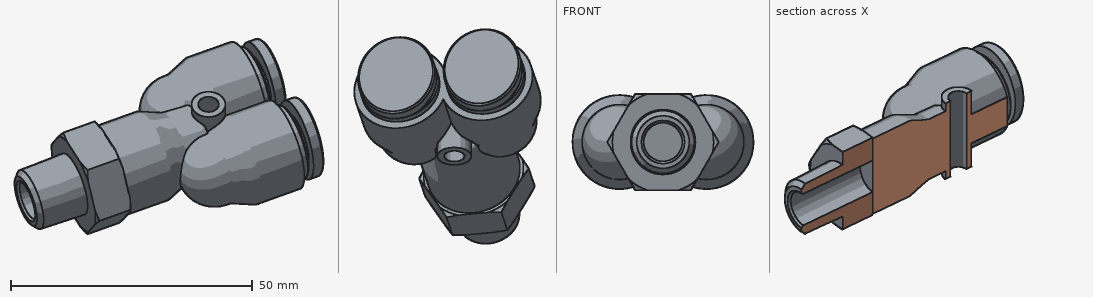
import cadquery as cq
import math


hex_bottom = 11.0
hex_top = 19.0
branch_end = 55.0
sleeve_top = 56.9
flange_bottom = 57.9
collar_top = 60.4

barrel_diameter = 19.5
neck_diameter = 15.5
barrel_length = 10.0
taper_length = 5.0
blend_radius = 0.95
stem_neck_length = 5.9
branch_neck_length = 0.95
branch_offset = 9.0

eyelet_diameter = 7.0
eyelet_hole_diameter = 4.2
eyelet_y = 42.0

hex_across_flats = 20.0
hex_face_diameter = 20.95
hex_chamfer_height = 0.4
thread_top_diameter = 13.45
thread_end_diameter = 13.0
tip_diameter = 10.9
tip_chamfer_height = 1.0
bore_diameter = 8.0
bore_chamfer = 0.5

sleeve_diameter = 16.5
sleeve_chamfer = 0.35
collar_neck_diameter = 11.7
flange_width = 16.2
flange_height = 18.5
flange_chamfer = 0.35


def revolve_profile(points):
    """Solid of revolution about the Y axis from (radius, y) points."""
    return cq.Workplane("XY").polyline(points).close().revolve(360, (0, 0, 0), (0, 1, 0))


def cylinder_along_y(diameter, start, end):
    return cq.Workplane("XZ", origin=(0, start, 0)).circle(diameter / 2).extrude(start - end)


def necked_barrel(neck_length):
    """Barrel from Y = 0 that tapers to a neck with a flat end towards +Y."""
    taper_end = barrel_length + taper_length
    neck_end = taper_end + neck_length
    body = revolve_profile([
        (0, 0),
        (barrel_diameter / 2, 0),
        (barrel_diameter / 2, barrel_length),
        (neck_diameter / 2, taper_end),
        (neck_diameter / 2, neck_end),
        (0, neck_end),
    ])
    for edge_y in (barrel_length, taper_end):
        blended_edge = cq.selectors.NearestToPointSelector((0, edge_y, 0))
        body = body.edges(blended_edge).fillet(blend_radius)
    return body


def make_stem():
    """Neck and barrel above the stud, rounded at the inner end."""
    stem = necked_barrel(stem_neck_length).faces(">Y").edges().fillet(blend_radius)
    return stem.translate((0, hex_top, 0))


def make_branch(x):
    """Branch that opens towards +Y and closes with a hemisphere towards -Y."""
    neck_radius = neck_diameter / 2
    dome_y = barrel_length + taper_length + branch_neck_length
    dome = (
        cq.Workplane("XY", origin=(0, dome_y, 0))
        .lineTo(neck_radius, 0)
        .radiusArc((0, neck_radius), -neck_radius)
        .close()
        .revolve(360, (0, 0, 0), (0, 1, 0))
    )
    branch = necked_barrel(branch_neck_length).union(dome)
    return branch.rotate((0, 0, 0), (0, 0, 1), 180).translate((x, branch_end, 0))


def make_housing():
    body = make_stem()
    for x in (-branch_offset, branch_offset):
        body = body.union(make_branch(x))
    eyelet_plane = cq.Workplane("XY", origin=(0, eyelet_y, 0))
    eyelet = eyelet_plane.circle(eyelet_diameter / 2).extrude(barrel_diameter / 2, both=True)
    eyelet_hole = eyelet_plane.circle(eyelet_hole_diameter / 2).extrude(barrel_diameter, both=True)
    return body.union(eyelet).cut(eyelet_hole)


def make_hexagon():
    """Hexagon with two flats facing +/-Z and both ends chamfered."""
    corner_diameter = hex_across_flats / math.cos(math.pi / 6)
    prism = (
        cq.Workplane("XZ", origin=(0, hex_bottom, 0))
        .polygon(6, corner_diameter)
        .extrude(hex_bottom - hex_top)
    )
    chamfer_envelope = revolve_profile([
        (0, hex_bottom),
        (hex_face_diameter / 2, hex_bottom),
        (corner_diameter / 2, hex_bottom + hex_chamfer_height),
        (corner_diameter / 2, hex_top - hex_chamfer_height),
        (hex_face_diameter / 2, hex_top),
        (0, hex_top),
    ])
    return prism.intersect(chamfer_envelope)


def make_stud():
    spigot = revolve_profile([
        (0, 0),
        (tip_diameter / 2, 0),
        (thread_end_diameter / 2, tip_chamfer_height),
        (thread_top_diameter / 2, hex_bottom),
        (0, hex_bottom),
    ])
    bore = revolve_profile([
        (0, 0),
        (bore_diameter / 2 + bore_chamfer, 0),
        (bore_diameter / 2, bore_chamfer),
        (bore_diameter / 2, hex_top),
        (0, hex_top),
    ])
    return make_hexagon().union(spigot).cut(bore)


def make_sleeve(x):
    sleeve = cylinder_along_y(sleeve_diameter, branch_end, sleeve_top)
    return sleeve.faces(">Y").chamfer(sleeve_chamfer).translate((x, 0, 0))


def make_collar(x):
    """Release collar: round neck below an oval flange."""
    neck = cylinder_along_y(collar_neck_diameter, sleeve_top, flange_bottom)
    flange = (
        cq.Workplane("XZ", origin=(0, flange_bottom, 0))
        .ellipse(flange_width / 2, flange_height / 2)
        .extrude(flange_bottom - collar_top)
        .faces(">Y")
        .chamfer(flange_chamfer)
    )
    return neck.union(flange).translate((x, 0, 0))


housing = make_housing()
stud = make_stud()
sleeves = []
collars = []
for branch_x in (-branch_offset, branch_offset):
    sleeves.append(make_sleeve(branch_x).val())
    collars.append(make_collar(branch_x).val())

result = cq.Compound.makeCompound([housing.val(), stud.val(), *sleeves, *collars])